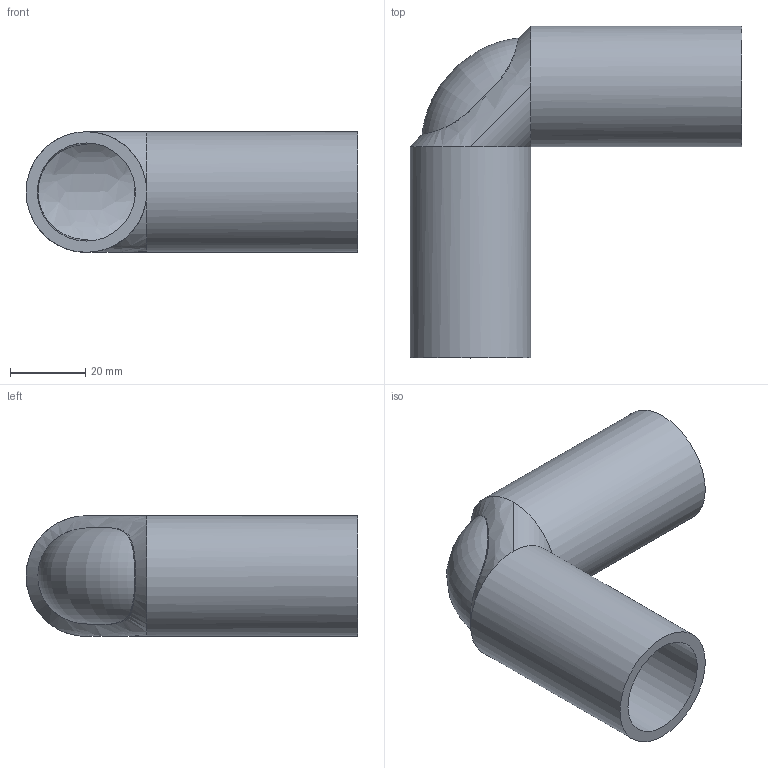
import cadquery as cq
import math

OUTER_RADIUS = 16.0
BORE_RADIUS = 13.0
LEG_LENGTH = 56.0

BEND_RADIUS = OUTER_RADIUS
BEND_ANGLE = 90.0
CONNECTOR_OVERSHOOT = 2 * OUTER_RADIUS
TRIM_SIZE = 6 * OUTER_RADIUS
BULGE_JOINT = 0.2


def straight_leg_y(radius):
    """Cylinder running from the bend along -Y."""
    return cq.Workplane("XZ").center(-BEND_RADIUS, 0).circle(radius).extrude(LEG_LENGTH)


def straight_leg_x(radius):
    """Cylinder running from the bend along +X."""
    return cq.Workplane("YZ").center(BEND_RADIUS, 0).circle(radius).extrude(LEG_LENGTH)


def slanted_connector(radius):
    """Elliptic cylinder at 45 degrees that meets both leg ends in full circles."""
    below_leg_end = cq.Plane(
        origin=(-BEND_RADIUS - CONNECTOR_OVERSHOOT, -CONNECTOR_OVERSHOOT, 0),
        xDir=(-1, 1, 0),
        normal=(1, 1, 0),
    )
    axis_length = math.sqrt(2) * (BEND_RADIUS + 2 * CONNECTOR_OVERSHOOT)
    cylinder = (
        cq.Workplane(below_leg_end)
        .ellipse(radius / math.sqrt(2), radius)
        .extrude(axis_length)
    )
    between_leg_ends = cq.Workplane("XY").box(
        TRIM_SIZE, TRIM_SIZE, TRIM_SIZE
    ).translate((-TRIM_SIZE / 2, TRIM_SIZE / 2, 0))
    return cylinder.intersect(between_leg_ends)


def torus_bend():
    """Quarter torus of bore size that links the two leg bores."""
    return (
        cq.Workplane("XZ")
        .center(-BEND_RADIUS, 0)
        .circle(BORE_RADIUS)
        .revolve(BEND_ANGLE, (BEND_RADIUS, 0, 0), (BEND_RADIUS, -1, 0))
    )


def elbow_body():
    """Legs and connector, with the bend standing proud as a solid bulge."""
    return (
        slanted_connector(OUTER_RADIUS)
        .union(torus_bend())
        .union(straight_leg_y(OUTER_RADIUS))
        .union(straight_leg_x(OUTER_RADIUS))
    )


def bend_bore():
    """The part of the torus bend that lies inside the connector wall."""
    return torus_bend().intersect(slanted_connector(OUTER_RADIUS - BULGE_JOINT))


def bored_elbow():
    """Body opened by the bend passage and by a straight bore through each leg."""
    return (
        elbow_body()
        .cut(bend_bore())
        .cut(straight_leg_y(BORE_RADIUS))
        .cut(straight_leg_x(BORE_RADIUS))
    )


result = bored_elbow()